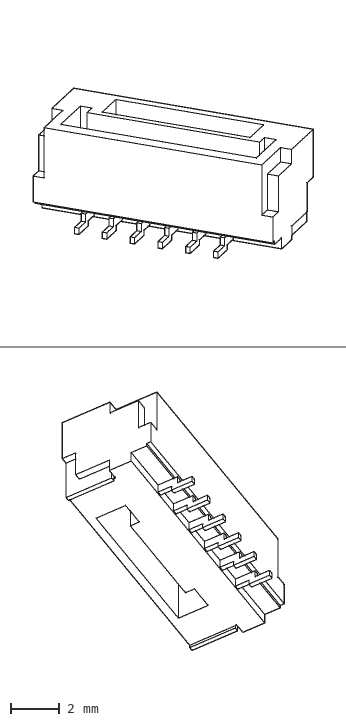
import cadquery as cq

housing_length = 10.75
housing_depth = 4.25
housing_top = 4.2
wall = 0.59
standoff = 0.14

relief_depth = 0.94
relief_top = 0.65
lip_depth = 0.19
lip_bottom = 0.78

slot_length = 8.77
slot_back = 2.14
slot_floor = relief_top + wall
key_width = 0.52
key_back = 2.64

window_length = 6.63
window_front = 2.43
window_back = 3.85
latch_length = 4.44
latch_projection = 0.43
latch_top = slot_floor

end_cut_depth = 0.49
upper_cut_back = 1.96
upper_cut_height = 0.65
upper_cut_bottom = 1.95
lower_cut_front = 1.99
lower_cut_foot_height = 0.75
lower_cut_leg_depth = 0.65
lower_cut_top = 2.05

tab_thickness = 0.19
tab_front = 2.05

terminal_count = 6
terminal_pitch = 1.25
terminal_width = 0.2
foot_reach = 0.7
foot_height = 0.29
heel_depth = 0.29
shank_bottom = 0.23


def block(x_min, x_max, y_min, y_max, z_min, z_max):
    size = (x_max - x_min, y_max - y_min, z_max - z_min)
    return cq.Workplane("XY").box(*size, centered=False).translate((x_min, y_min, z_min))


def centred_block(length, y_min, y_max, z_min, z_max):
    return block(-length / 2, length / 2, y_min, y_max, z_min, z_max)


def side_profile(points, x_start, thickness):
    """Extrude a (Y, Z) outline along +X from x_start."""
    outline = cq.Workplane("YZ").workplane(offset=x_start).polyline(points).close()
    return outline.extrude(thickness)


def make_shell():
    outline = [
        (0, lip_bottom),
        (lip_depth, lip_bottom),
        (lip_depth, relief_top),
        (relief_depth, relief_top),
        (relief_depth, standoff),
        (housing_depth, standoff),
        (housing_depth, housing_top),
        (0, housing_top),
    ]
    return side_profile(outline, -housing_length / 2, housing_length)


def make_slot():
    slot = centred_block(slot_length, wall, slot_back, slot_floor, housing_top)
    keys = centred_block(slot_length, slot_back, key_back, slot_floor, housing_top)
    between_keys = centred_block(
        slot_length - 2 * key_width, slot_back, key_back, slot_floor, housing_top
    )
    return slot.union(keys.cut(between_keys))


def make_window():
    window = centred_block(window_length, window_front, window_back, 0, housing_top)
    latch = centred_block(
        latch_length, window_front, window_front + latch_projection, standoff, latch_top
    )
    return window.cut(latch)


def lower_l_outline(front):
    leg_front = housing_depth - lower_cut_leg_depth
    return [
        (front, 0),
        (housing_depth, 0),
        (housing_depth, lower_cut_top),
        (leg_front, lower_cut_top),
        (leg_front, lower_cut_foot_height),
        (front, lower_cut_foot_height),
    ]


def make_end_cuts():
    """Upper front and lower back L-shaped cuts of the left end."""
    ledge = housing_top - upper_cut_height
    upper_outline = [
        (0, upper_cut_bottom),
        (wall, upper_cut_bottom),
        (wall, ledge),
        (upper_cut_back, ledge),
        (upper_cut_back, housing_top),
        (0, housing_top),
    ]
    left = -housing_length / 2
    upper = side_profile(upper_outline, left, end_cut_depth)
    lower = side_profile(lower_l_outline(lower_cut_front), left, end_cut_depth)
    return upper.union(lower)


def make_solder_tab():
    """Solder tab of the left end, lying against the inner face of the lower cut."""
    inner_face = -housing_length / 2 + end_cut_depth
    return side_profile(lower_l_outline(tab_front), inner_face - tab_thickness, tab_thickness)


def make_terminal(x_centre):
    outline = [
        (-foot_reach, 0),
        (heel_depth, 0),
        (heel_depth, shank_bottom),
        (relief_depth, shank_bottom),
        (relief_depth, relief_top),
        (0, relief_top),
        (0, foot_height),
        (-foot_reach, foot_height),
    ]
    return side_profile(outline, x_centre - terminal_width / 2, terminal_width)


def both_ends(left_feature):
    return left_feature.union(left_feature.mirror("YZ"))


result = make_shell().cut(make_slot()).cut(make_window())
result = result.cut(both_ends(make_end_cuts()))
result = result.union(both_ends(make_solder_tab()))

first_terminal_x = -terminal_pitch * (terminal_count - 1) / 2
for index in range(terminal_count):
    result = result.union(make_terminal(first_terminal_x + index * terminal_pitch))